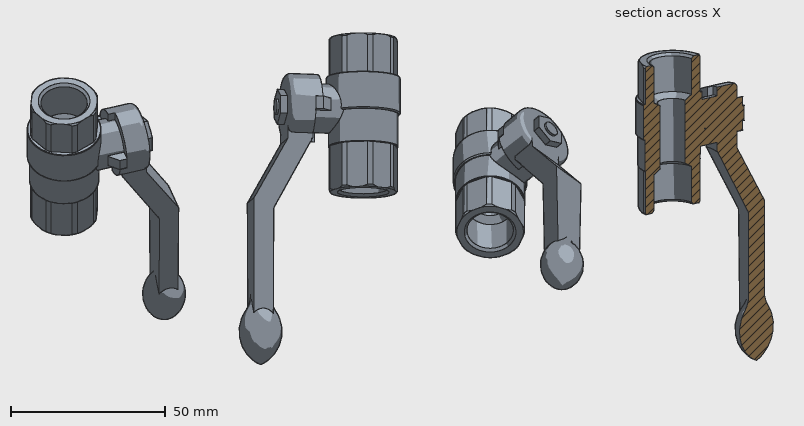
import cadquery as cq
import math


body_top = 23.4
collar_top = 10.6
collar_bottom = -1.5
barrel_bottom = -12.3
body_bottom = -27.0
collar_diameter = 24.0
barrel_diameter = 22.6
octagon_flats = 21.3
octagon_corner_diameter = 22.4
end_chamfer_length = 0.7
end_chamfer_width = 0.4
collar_top_chamfer = 0.2
collar_bottom_chamfer = 0.4
barrel_chamfer = 0.2

through_diameter = 10.0
socket_diameter = 15.0
socket_mouth_diameter = 16.7
socket_depth = 13.0
drill_half_angle = 59.0

stem_diameter = 16.0
hub_diameter = 21.9
hub_back = 17.9
hub_front = 26.1
hub_fillet = 1.7
skirt_edge = 2.1
skirt_back = 15.6
lug_height = 2 * skirt_edge
lug_corner = 15.4
lug_root = 12.4

nut_flats = 10.0
nut_height = 2.3
stud_diameter = 5.1
stud_height = 2.9

lever_start = -5.4
upper_bend_front = -11.3
upper_bend_back = -10.7
lower_bend_front = -31.1
lower_bend_back = -34.3
bend_fillet = 2.1
lever_end = -71.6
lever_axis = 34.0
lever_thickness = 6.5
lever_start_width = 11.8
lever_end_width = 9.4

knob_diameter = 14.0
knob_centre = -74.2
knob_tip = -85.1
knob_shoulder = -67.5


def cylinder_z(diameter, bottom, top):
    return cq.Workplane("XY").workplane(offset=bottom).circle(diameter / 2).extrude(top - bottom)


def cylinder_y(diameter, back, front):
    return cq.Workplane("XZ", origin=(0, back, 0)).circle(diameter / 2).extrude(back - front)


def wrench_end(bottom, top, end_face):
    """Octagon with a corner on each axis, its corners rounded by a chamfered cylinder."""
    sharp_diameter = octagon_flats / math.cos(math.pi / 8)
    octagon = cq.Workplane("XY").workplane(offset=bottom).polygon(8, sharp_diameter).extrude(top - bottom)
    rounding = cylinder_z(octagon_corner_diameter, bottom, top)
    rounding = rounding.faces(end_face).chamfer(end_chamfer_length, end_chamfer_width)
    return octagon.intersect(rounding)


def socket(end, inward):
    """Chamfered socket with a drill-point floor; inward is +1 or -1 along Z."""
    mouth_radius = socket_mouth_diameter / 2
    socket_radius = socket_diameter / 2
    mouth_depth = mouth_radius - socket_radius
    point_depth = socket_radius / math.tan(math.radians(drill_half_angle))
    return (
        cq.Workplane("XZ")
        .moveTo(0, end)
        .lineTo(mouth_radius, end)
        .lineTo(socket_radius, end + inward * mouth_depth)
        .lineTo(socket_radius, end + inward * socket_depth)
        .lineTo(0, end + inward * (socket_depth + point_depth))
        .close()
        .revolve(360, (0, 0, 0), (0, 1, 0))
    )


def make_body():
    collar = cylinder_z(collar_diameter, collar_bottom, collar_top)
    collar = collar.faces(">Z").chamfer(collar_top_chamfer)
    collar = collar.faces("<Z").chamfer(collar_bottom_chamfer)
    barrel = cylinder_z(barrel_diameter, barrel_bottom, collar_bottom).faces("<Z").chamfer(barrel_chamfer)
    upper_end = wrench_end(collar_top, body_top, ">Z")
    lower_end = wrench_end(body_bottom, barrel_bottom, "<Z")
    return collar.union(barrel).union(upper_end).union(lower_end)


def skirt_sector(side):
    """Rim behind the hub outside the stem, in one of two opposite corners (side is +1 or -1)."""
    ring = cylinder_y(hub_diameter, skirt_back, hub_back).cut(cylinder_y(stem_diameter, skirt_back, hub_back))
    reach = hub_diameter / 2
    depth = hub_back - skirt_back
    middle = side * (skirt_edge + reach / 2)
    corner = cq.Workplane("XY").box(reach, depth, reach).translate((middle, skirt_back + depth / 2, -middle))
    return ring.intersect(corner)


def make_lugs():
    """Tapered stop lugs on both sides of the stem."""
    tip = hub_diameter / 2
    root = stem_diameter / 2
    profile = [
        (-tip, hub_back),
        (-tip, lug_corner),
        (-root, lug_root),
        (root, lug_root),
        (tip, lug_corner),
        (tip, hub_back),
    ]
    return cq.Workplane("XY").polyline(profile).close().extrude(lug_height / 2, both=True)


def make_hub():
    hub = cylinder_y(hub_diameter, hub_back, hub_front).faces(">Y").edges().fillet(hub_fillet)
    nut_corners = nut_flats / math.cos(math.pi / 6)
    nut = (
        cq.Workplane("XZ", origin=(0, hub_front, 0))
        .polygon(6, nut_corners)
        .extrude(-nut_height)
        .rotate((0, 0, 0), (0, 1, 0), 30)
    )
    stud = cylinder_y(stud_diameter, hub_front, hub_front + stud_height)
    hub = hub.union(nut).union(stud)
    for side in (-1, 1):
        hub = hub.union(skirt_sector(side))
    return hub


def make_lever():
    """Cranked flat bar: the side profile trimmed by a tapered front outline."""
    lever_back = lever_axis - lever_thickness / 2
    lever_front = lever_axis + lever_thickness / 2
    side_profile = [
        (hub_back, lever_start),
        (hub_front, lever_start),
        (hub_front, upper_bend_front),
        (lever_front, lower_bend_front),
        (lever_front, lever_end),
        (lever_back, lever_end),
        (lever_back, lower_bend_back),
        (hub_back, upper_bend_back),
    ]
    front_outline = [
        (-lever_start_width / 2, lever_start),
        (lever_start_width / 2, lever_start),
        (lever_end_width / 2, lever_end),
        (-lever_end_width / 2, lever_end),
    ]
    bar = cq.Workplane("YZ").polyline(side_profile).close().extrude(lever_start_width, both=True)
    lower_bend = cq.selectors.NearestToPointSelector((0, lever_back, lower_bend_back))
    bar = bar.edges("|X").edges(lower_bend).fillet(bend_fillet)
    taper = cq.Workplane("XZ").polyline(front_outline).close().extrude(-lever_front)
    return bar.intersect(taper)


def make_knob():
    """Pointed oval turned about the lever axis, with a concave neck tangent to its arc."""
    knob_radius = knob_diameter / 2
    tip_length = knob_centre - knob_tip
    arc_radius = (tip_length ** 2 + knob_radius ** 2) / (2 * knob_radius)

    shoulder_height = knob_shoulder - knob_centre
    shoulder_angle = math.asin(shoulder_height / arc_radius)
    shoulder_radius = knob_radius - arc_radius * (1 - math.cos(shoulder_angle))

    neck_radius = lever_thickness / 2
    flare_radius = (shoulder_radius - neck_radius) / (1 - math.cos(shoulder_angle))
    neck_top = knob_shoulder + flare_radius * math.sin(shoulder_angle)
    flare_middle = (
        neck_radius + flare_radius * (1 - math.cos(shoulder_angle / 2)),
        neck_top - flare_radius * math.sin(shoulder_angle / 2),
    )
    return (
        cq.Workplane("XZ", origin=(0, lever_axis, 0))
        .moveTo(0, neck_top)
        .lineTo(neck_radius, neck_top)
        .threePointArc(flare_middle, (shoulder_radius, knob_shoulder))
        .threePointArc((knob_radius, knob_centre), (0, knob_tip))
        .close()
        .revolve(360, (0, 0, 0), (0, 1, 0))
    )


stem = cylinder_y(stem_diameter, 0, hub_back)
result = make_body()
for part in (stem, make_lugs(), make_hub(), make_lever(), make_knob()):
    result = result.union(part)

result = result.cut(cylinder_z(through_diameter, body_bottom, body_top))
result = result.cut(socket(body_top, -1)).cut(socket(body_bottom, 1))